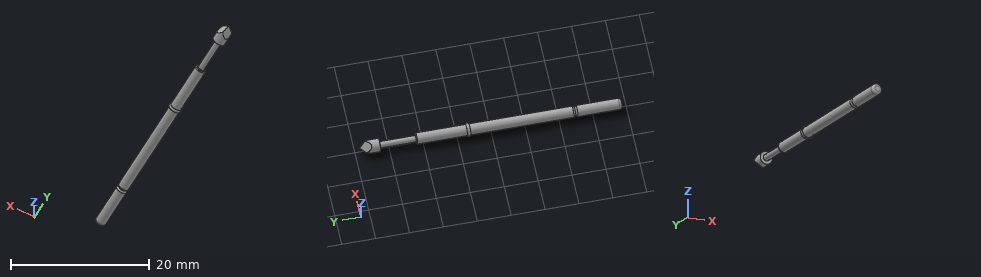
import cadquery as cq
import math

total_length = 38.7
apex_y = total_length / 2

head_radius = 1.0
head_length = 3.0
plunger_radius = 0.5

tip_sides = 3
tip_face_angle = 30.0

barrel_radius = 0.85
barrel_start = 8.3
barrel_front_chamfer = 0.15
barrel_rear_fillet = 0.45

ring_radius = 1.0
ring_start = 15.8
ring_width = 0.5

groove_start = 31.5
groove_width = 0.6
groove_depth = 0.2


def along_axis(distance):
    """Y coordinate at a distance behind the tip apex."""
    return apex_y - distance


def revolved(outline):
    """Solid of revolution about Y from (radius, distance behind apex) points."""
    points = [(radius, along_axis(distance)) for radius, distance in outline]
    return cq.Workplane("XY").polyline(points).close().revolve(360, (0, 0, 0), (0, 1, 0))


def make_plunger():
    return revolved([
        (0, 0),
        (head_radius, 0),
        (head_radius, head_length),
        (plunger_radius, head_length),
        (plunger_radius, barrel_start),
        (0, barrel_start),
    ])


def cut_tip(body):
    """Bevel the head to a pyramid with one face towards +X."""
    slope = 1 / math.tan(math.radians(tip_face_angle))
    reach = 2 * head_radius
    cutter = (
        cq.Workplane("XY")
        .polyline([
            (0, along_axis(0)),
            (reach, along_axis(reach * slope)),
            (reach, along_axis(-reach)),
            (0, along_axis(-reach)),
        ])
        .close()
        .extrude(reach, both=True)
    )
    for side in range(tip_sides):
        body = body.cut(cutter.rotate((0, 0, 0), (0, 1, 0), side * 360 / tip_sides))
    return body


def make_barrel():
    barrel = revolved([
        (0, barrel_start),
        (barrel_radius, barrel_start),
        (barrel_radius, groove_start),
        (barrel_radius - groove_depth, groove_start + groove_width / 2),
        (barrel_radius, groove_start + groove_width),
        (barrel_radius, total_length),
        (0, total_length),
    ])
    barrel = barrel.faces("<Y").edges().fillet(barrel_rear_fillet)
    return barrel.faces(">Y").edges().chamfer(barrel_front_chamfer)


def make_ring():
    """Bead with an arc profile, reaching ring_radius at mid width."""
    front = along_axis(ring_start)
    middle = along_axis(ring_start + ring_width / 2)
    rear = along_axis(ring_start + ring_width)
    return (
        cq.Workplane("XY")
        .moveTo(0, front)
        .lineTo(barrel_radius, front)
        .threePointArc((ring_radius, middle), (barrel_radius, rear))
        .lineTo(0, rear)
        .close()
        .revolve(360, (0, 0, 0), (0, 1, 0))
    )


result = cut_tip(make_plunger()).union(make_barrel()).union(make_ring())